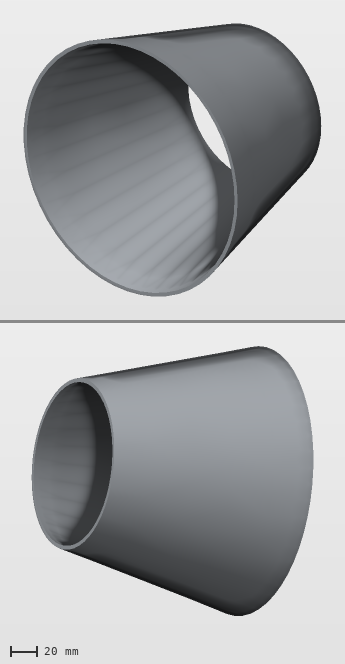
import cadquery as cq

large_diameter = 206.0
small_diameter = 131.0
length = 152.0
wall = 3.0

large_radius = large_diameter / 2
small_radius = small_diameter / 2


def reducer_shell():
    """Revolve the sloping wall section about Y, wide end at Y = 0."""
    wall_section = (
        cq.Workplane("XY")
        .moveTo(large_radius - wall, 0)
        .lineTo(large_radius, 0)
        .lineTo(small_radius, length)
        .lineTo(small_radius - wall, length)
        .close()
    )
    return wall_section.revolve(360, (0, 0, 0), (0, 1, 0))


result = reducer_shell()